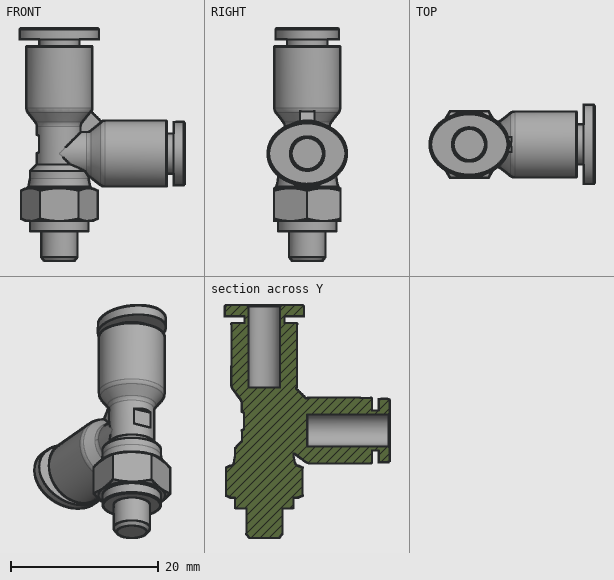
import cadquery as cq
import math

total_height = 31.7
port_length = 17.1
crossing_height = total_height - port_length

neck_radius = 3.07
body_radius = 4.5
flare_start = 4.03
flare_end = 5.85
flare_fillet = 0.98
body_end = 14.65
body_chamfer = 0.13
stem_radius = 2.75
flange_length = 10.8
flange_width = 8.65
flange_thickness = 1.55
flange_chamfer = 0.22
bore_radius = 2.12
bore_chamfer = 0.22
bore_depth = port_length - flare_end

stub_radius = 4.98 / 2
stub_chamfer_width = 0.45
stub_chamfer_height = 0.57
collar_bottom = 4.0
collar_radius = 4.0
collar_chamfer = 0.13

hex_bottom = 5.45
hex_top = 9.9
hex_across_flats = 9.07
hex_chamfer_height = 0.32

sleeve_foot_radius = 4.45
sleeve_foot_height = 0.22
sleeve_cone_radius = 4.22
sleeve_cone_top = 11.25
sleeve_radius = collar_radius
shoulder_bottom = 12.25

gusset_reach = 10.05
gusset_thickness = 2.0

flat_distance = 2.8
flat_center_height = 15.9
flat_height = 2.22
flat_end_slope = 30.0


def make_port():
    """Port along +Z, starting at the crossing, flange long axis along X."""
    flange_bottom = port_length - flange_thickness
    outline = [
        (0, 0),
        (neck_radius, 0),
        (neck_radius, flare_start),
        (body_radius, flare_end),
        (body_radius, body_end - body_chamfer),
        (body_radius - body_chamfer, body_end),
        (stem_radius, body_end),
        (stem_radius, flange_bottom),
        (0, flange_bottom),
    ]
    body = cq.Workplane("XZ").polyline(outline).close().revolve(360, (0, 0), (0, 1))
    for radius, height in ((neck_radius, flare_start), (body_radius, flare_end)):
        corner = cq.selectors.BoxSelector(
            (-2 * radius, -2 * radius, height - 0.03),
            (2 * radius, 2 * radius, height + 0.03),
        )
        body = body.edges(corner).edges("%CIRCLE").fillet(flare_fillet)

    flange = (
        cq.Workplane("XY", origin=(0, 0, flange_bottom))
        .ellipse(flange_length / 2, flange_width / 2)
        .extrude(flange_thickness)
        .faces(">Z")
        .chamfer(flange_chamfer)
    )
    bore_outline = [
        (0, port_length - bore_depth),
        (bore_radius, port_length - bore_depth),
        (bore_radius, port_length - bore_chamfer),
        (bore_radius + bore_chamfer, port_length),
        (0, port_length),
    ]
    bore = cq.Workplane("XZ").polyline(bore_outline).close().revolve(360, (0, 0), (0, 1))
    return body.union(flange).cut(bore)


def make_base():
    """Threaded stub, collar, sleeve and lower neck, turned about Z."""
    shoulder_top = shoulder_bottom + sleeve_radius - neck_radius
    outline = [
        (0, 0),
        (stub_radius - stub_chamfer_width, 0),
        (stub_radius, stub_chamfer_height),
        (stub_radius, collar_bottom),
        (collar_radius - collar_chamfer, collar_bottom),
        (collar_radius, collar_bottom + collar_chamfer),
        (collar_radius, hex_top),
        (sleeve_foot_radius, hex_top),
        (sleeve_cone_radius, hex_top + sleeve_foot_height),
        (sleeve_radius, sleeve_cone_top),
        (sleeve_radius, shoulder_bottom),
        (neck_radius, shoulder_top),
        (neck_radius, crossing_height),
        (0, crossing_height),
    ]
    return cq.Workplane("XZ").polyline(outline).close().revolve(360, (0, 0), (0, 1))


def make_hexagon():
    """Hexagon with two flats facing Y and conically chamfered corners."""
    corner_radius = hex_across_flats / 2 / math.cos(math.radians(30))
    prism = (
        cq.Workplane("XY", origin=(0, 0, hex_bottom))
        .polygon(6, 2 * corner_radius)
        .extrude(hex_top - hex_bottom)
    )
    face_radius = hex_across_flats / 2
    envelope_outline = [
        (0, hex_bottom),
        (face_radius, hex_bottom),
        (corner_radius, hex_bottom + hex_chamfer_height),
        (corner_radius, hex_top - hex_chamfer_height),
        (face_radius, hex_top),
        (0, hex_top),
    ]
    envelope = cq.Workplane("XZ").polyline(envelope_outline).close().revolve(360, (0, 0), (0, 1))
    return prism.intersect(envelope)


def make_gusset():
    """Triangular web filling the upper corner between the two ports, kept clear of their bores."""
    inner = (neck_radius + bore_radius) / 2
    outer = gusset_reach - inner
    return (
        cq.Workplane("XZ", origin=(0, 0, crossing_height))
        .polyline([(inner, inner), (outer, inner), (inner, outer)])
        .close()
        .extrude(gusset_thickness / 2, both=True)
    )


def make_flat_cutter():
    """Trapezoidal cutter that leaves the flat on the -X side of the neck."""
    depth = neck_radius - flat_distance
    inner_half = flat_height / 2
    outer_half = inner_half + depth * math.tan(math.radians(flat_end_slope))
    outline = [
        (-flat_distance, -inner_half),
        (-flat_distance, inner_half),
        (-neck_radius, outer_half),
        (-neck_radius, -outer_half),
    ]
    return (
        cq.Workplane("XZ", origin=(0, 0, flat_center_height))
        .polyline(outline)
        .close()
        .extrude(neck_radius, both=True)
    )


port = make_port()
top_port = port.translate((0, 0, crossing_height))
branch_port = (
    port.rotate((0, 0, 0), (0, 0, 1), 90)
    .rotate((0, 0, 0), (0, 1, 0), 90)
    .translate((0, 0, crossing_height))
)

result = (
    make_base()
    .union(make_hexagon())
    .union(top_port)
    .union(branch_port)
    .union(make_gusset())
    .cut(make_flat_cutter())
    .clean()
)